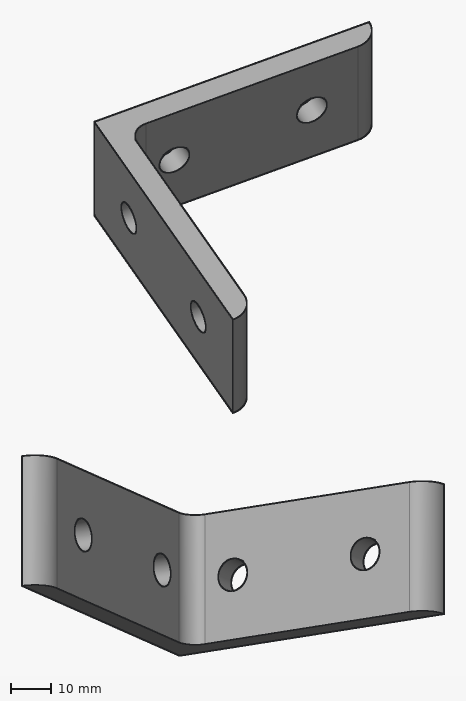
import cadquery as cq
import math

leg_length = 76.2
height = 33.3
thickness = 6.3
root_radius = 4.7
toe_radius = thickness

hole_diameter = 8.3
hole_positions = (leg_length / 4, 3 * leg_length / 4)

toe_start = leg_length - toe_radius
root_end = thickness + root_radius
arc_offset = toe_radius * math.sin(math.radians(45))
root_mid = root_end - root_radius * math.sin(math.radians(45))

bracket = (
    cq.Workplane("XY")
    .lineTo(leg_length, 0)
    .threePointArc((toe_start + arc_offset, arc_offset), (toe_start, thickness))
    .lineTo(root_end, thickness)
    .threePointArc((root_mid, root_mid), (thickness, root_end))
    .lineTo(thickness, toe_start)
    .threePointArc((arc_offset, toe_start + arc_offset), (0, leg_length))
    .close()
    .extrude(height)
)


def leg_hole(start, direction):
    """Round cutter through one leg, starting on its outer face."""
    return cq.Workplane(
        cq.Solid.makeCylinder(hole_diameter / 2, thickness, cq.Vector(*start), cq.Vector(*direction))
    )


for position in hole_positions:
    bracket = bracket.cut(leg_hole((position, 0, height / 2), (0, 1, 0)))
    bracket = bracket.cut(leg_hole((0, position, height / 2), (1, 0, 0)))

result = bracket